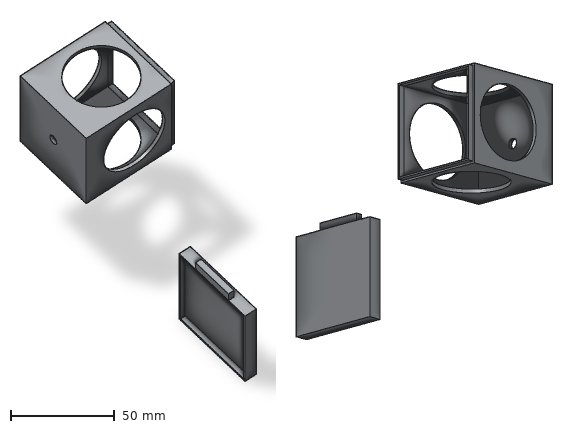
import cadquery as cq

housing_top = 100.0
side = housing_top / 2
housing_depth = 53.0
wall = 2.0
front_wall = wall
window_diameter = 38.0
window_from_back = 23.0
pinhole_diameter = 5.2

lip_size = 47.8
lip_depth = 3.0

cover_right = 152.2
cover_front = 14.9
cover_depth = 7.0
recess_size = lip_size
recess_depth = 2.9

tab_length = 25.0
tab_depth = 3.5
tab_height = 5.0

housing_x = side / 2
housing_z = housing_top - side / 2
inner_size = side - 2 * wall
cover_x = cover_right - side / 2
cover_z = side / 2


def square_block(size, depth, x, front, z):
    """Block square in XZ, centred on (x, z), running +Y from its front face."""
    return cq.Workplane("XY").box(size, depth, size).translate((x, front + depth / 2, z))


def make_housing():
    body = square_block(side, housing_depth, housing_x, 0, housing_z)
    cavity = square_block(inner_size, housing_depth - front_wall, housing_x, front_wall, housing_z)
    body = body.cut(cavity)
    window_center = cq.Vector(housing_x, housing_depth - window_from_back, housing_z)
    for axis in (cq.Vector(1, 0, 0), cq.Vector(0, 0, 1)):
        start = window_center - axis * (side / 2)
        body = body.cut(cq.Workplane(cq.Solid.makeCylinder(window_diameter / 2, side, start, axis)))
    pinhole = cq.Solid.makeCylinder(
        pinhole_diameter / 2, front_wall, cq.Vector(housing_x, 0, housing_z), cq.Vector(0, 1, 0)
    )
    return body.cut(cq.Workplane(pinhole))


def make_lip():
    outside = square_block(lip_size, lip_depth, housing_x, housing_depth, housing_z)
    opening = square_block(inner_size, lip_depth, housing_x, housing_depth, housing_z)
    return outside.cut(opening)


def make_cover():
    body = square_block(side, cover_depth, cover_x, cover_front, cover_z)
    return body.cut(square_block(recess_size, recess_depth, cover_x, cover_front, cover_z))


def make_tab():
    tab = cq.Workplane("XY").box(tab_length, tab_depth, tab_height)
    return tab.translate((cover_x, cover_front + tab_depth / 2, side + tab_height / 2))


housing = make_housing()
lip = make_lip()
cover = make_cover()
tab = make_tab()

result = cq.Compound.makeCompound([housing.val(), lip.val(), cover.val(), tab.val()])